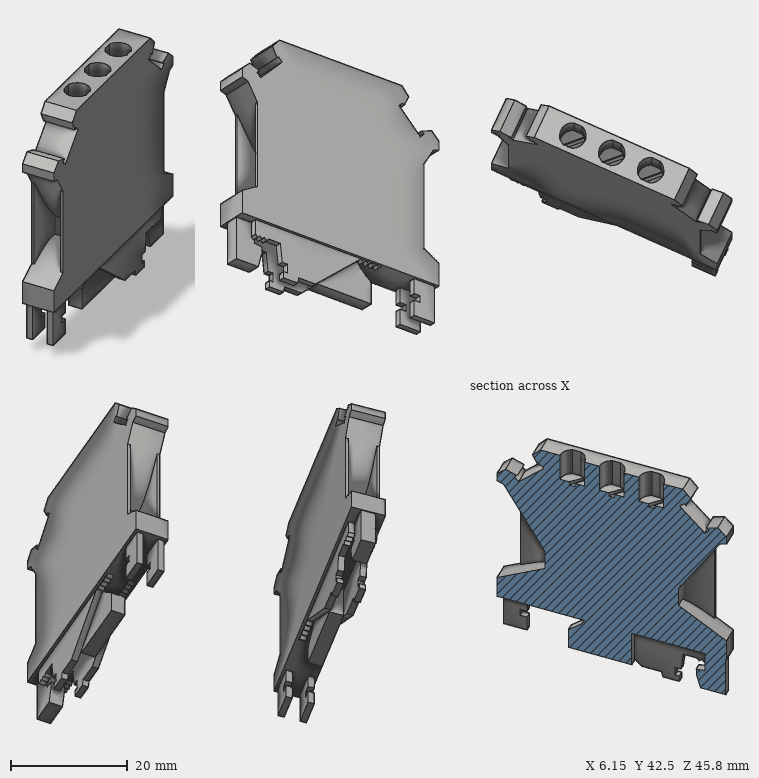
import cadquery as cq
import math

WIDTH = 6.15
HALF_LENGTH = 21.25
HEIGHT = 45.8
BASE_Z = 9.35

WAIST_HALF = 18.0
RIM_TOP_Z = 13.75
WAIST_LOW_Z = 15.6
WAIST_HIGH_Z = 32.05
ARM_ROOT = (20.0, 35.45)
HALF_OUTLINE = [
    (HALF_LENGTH, BASE_Z),
    (HALF_LENGTH, RIM_TOP_Z),
    (WAIST_HALF, WAIST_LOW_Z),
    (WAIST_HALF, WAIST_HIGH_Z),
    ARM_ROOT,
    (HALF_LENGTH, 35.9),
    (HALF_LENGTH, 37.6),
    (19.65, 39.15),
    (17.5, 38.4),
    (18.0, 37.9),
    (17.2, 37.15),
    (12.65, 41.7),
    (13.4, 42.45),
    (13.75, 42.15),
    (14.7, 44.1),
    (13.2, HEIGHT),
]

RECESS_FLOOR = 12.35
RECESS_FLOOR_HALF = 1.45
RECESS_MOUTH_HALF = 2.55

WELL_PITCH = 7.35
WELL_DIAMETER = 4.5
WELL_FLATS = 4.2
WELL_DEPTH = 5.5
DRIVE_WIDTH = 0.7
DRIVE_DEPTH = 0.75
DRIVE_ANGLE = -45

PLATE_OUTER = 2.55
PLATE_INNER = 1.4
CORE_HALF = 1.3
FOOT_Z = 2.15
HOOK_FOOT_Z = 1.25
LATCH_FRONT_Y = -4.8
OVERLAP = 0.45
ROOT_Z = BASE_Z + OVERLAP
TOOTH_DEPTH = 0.5


def prism(points, x_low, x_high):
    """Extrude a closed (Y, Z) outline between two X positions."""
    return cq.Workplane("YZ", origin=(x_low, 0, 0)).polyline(points).close().extrude(x_high - x_low)


def plate_pair(points):
    """The same (Y, Z) outline as a plate on either side of the middle plane."""
    plate = prism(points, PLATE_INNER, PLATE_OUTER)
    return plate.union(plate.mirror("YZ"))


def teeth(first_y, pitch, count, root_z):
    """Outline points of a row of pointed teeth hanging from root_z, running toward -Y."""
    points = [(first_y, root_z)]
    for index in range(count):
        start = first_y - index * pitch
        points.append((start - pitch / 2, root_z - TOOTH_DEPTH))
        points.append((start - pitch, root_z))
    return points


def housing():
    mirrored = [(-y, z) for y, z in reversed(HALF_OUTLINE)]
    return prism(HALF_OUTLINE + mirrored, -WIDTH / 2, WIDTH / 2)


def end_recess():
    """Recess at the +Y end: flared in plan, its roof and floor continuing the housing's slopes."""
    reach = HALF_LENGTH
    roof_slope = (ARM_ROOT[1] - WAIST_HIGH_Z) / (ARM_ROOT[0] - WAIST_HALF)
    floor_slope = (RIM_TOP_Z - WAIST_LOW_Z) / (HALF_LENGTH - WAIST_HALF)

    def roof_z(y):
        return WAIST_HIGH_Z + roof_slope * (y - WAIST_HALF)

    def floor_z(y):
        return WAIST_LOW_Z + floor_slope * (y - WAIST_HALF)

    side = [
        (RECESS_FLOOR, floor_z(RECESS_FLOOR)),
        (WAIST_HALF, WAIST_LOW_Z),
        (reach, floor_z(reach)),
        (reach, WAIST_HIGH_Z),
        (WAIST_HALF, WAIST_HIGH_Z),
        (RECESS_FLOOR, roof_z(RECESS_FLOOR)),
    ]
    channel_depth = reach - RECESS_FLOOR
    channel = cq.Workplane("XY").center(0, RECESS_FLOOR + channel_depth / 2)
    channel = channel.rect(2 * RECESS_FLOOR_HALF, channel_depth).extrude(HEIGHT)
    mouth_depth = reach - WAIST_HALF
    mouth = cq.Workplane("XY").center(0, WAIST_HALF + mouth_depth / 2)
    mouth = mouth.rect(2 * RECESS_MOUTH_HALF, mouth_depth).extrude(HEIGHT)
    flare = (
        cq.Workplane("XY")
        .pushPoints([(-RECESS_FLOOR_HALF, WAIST_HALF), (RECESS_FLOOR_HALF, WAIST_HALF)])
        .ellipse(RECESS_MOUTH_HALF - RECESS_FLOOR_HALF, WAIST_HALF - RECESS_FLOOR)
        .extrude(HEIGHT)
    )
    flare_limit = cq.Workplane("XY").rect(WIDTH, 2 * WAIST_HALF).extrude(HEIGHT)
    flared = channel.union(flare.intersect(flare_limit)).union(mouth)
    return flared.intersect(prism(side, -WIDTH / 2, WIDTH / 2))


def screw_well(y):
    """Flat-sided well with a slotted screw head at its bottom."""
    floor_z = HEIGHT - WELL_DEPTH
    bore = cq.Workplane("XY", origin=(0, y, floor_z)).circle(WELL_DIAMETER / 2).extrude(WELL_DEPTH)
    flats = cq.Workplane("XY", origin=(0, y, floor_z)).rect(WELL_FLATS, WELL_DIAMETER).extrude(WELL_DEPTH)
    drive_length = math.sqrt(WELL_DIAMETER ** 2 - DRIVE_WIDTH ** 2)
    drive = (
        cq.Workplane("XY", origin=(0, y, floor_z))
        .transformed(rotate=(0, 0, DRIVE_ANGLE))
        .rect(drive_length, DRIVE_WIDTH)
        .extrude(-DRIVE_DEPTH)
    )
    return bore.intersect(flats).union(drive)


def latch_plates():
    """Pair of hooked latch plates, the lowest part of the terminal."""
    seat_z = 6.5
    latch = [(LATCH_FRONT_Y, BASE_Z), (LATCH_FRONT_Y, ROOT_Z), (WAIST_HALF, ROOT_Z)]
    latch += teeth(WAIST_HALF, 0.95, 3, seat_z)
    latch += [
        (12.65, seat_z),
        (12.25, 2.95),
        (11.15, 2.95),
        (11.15, 1.25),
        (11.9, 1.25),
        (11.9, 0),
        (8.9, 0),
        (8.6, 1.1),
        (5.05, 1.1),
    ]
    return plate_pair(latch)


def grip_teeth():
    """Row of teeth on the underside of the housing."""
    row = teeth(LATCH_FRONT_Y, 1.1, 4, BASE_Z)
    return plate_pair(row + [(row[-1][0], ROOT_Z), (row[0][0], ROOT_Z)])


def notched_foot():
    """Pair of plates at the -Y end, notched to hook on the mounting rail."""
    outer, inner, notch = -20.65, -16.25, -17.55
    notch_bottom, notch_top = 5.15, 6.4
    return plate_pair([
        (outer, ROOT_Z),
        (outer, FOOT_Z),
        (inner, FOOT_Z),
        (inner, notch_bottom),
        (notch, notch_bottom),
        (notch, notch_top),
        (inner, notch_top),
        (inner, ROOT_Z),
    ])


def hooked_foot():
    """Foot at the +Y end, on the middle plane."""
    outer, inner = 21.1, 17.2
    return prism([
        (outer, ROOT_Z),
        (outer, HOOK_FOOT_Z),
        (16.4, HOOK_FOOT_Z),
        (15.6, 4.1),
        (15.6, 5.3),
        (inner, 5.6),
        (inner, ROOT_Z),
    ], -CORE_HALF, CORE_HALF)


def wedge_foot():
    """Wedge between the latch plates, on the middle plane."""
    return prism([
        (-5.0, ROOT_Z),
        (-5.0, BASE_Z),
        (-5.7, 8.4),
        (-8.0, 6.3),
        (-8.0, FOOT_Z),
        (3.7, FOOT_Z),
        (3.7, ROOT_Z),
    ], -CORE_HALF, CORE_HALF)


body = housing()
recess = end_recess()
body = body.cut(recess).cut(recess.mirror("XZ"))

for position in (-WELL_PITCH, 0, WELL_PITCH):
    body = body.cut(screw_well(position))

for foot in (latch_plates(), grip_teeth(), notched_foot(), hooked_foot(), wedge_foot()):
    body = body.union(foot)

result = body